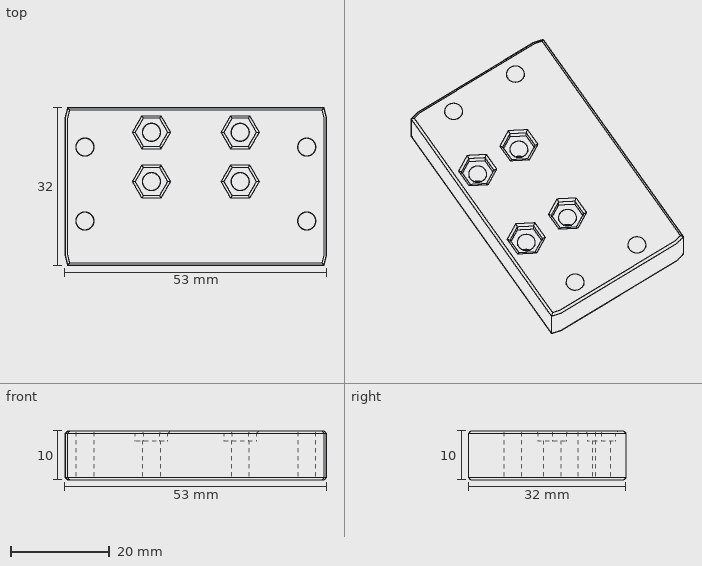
import cadquery as cq
import math

LENGTH = 53.0
WIDTH = 32.0
HEIGHT = 10.0
CORNER_CUT_X = 0.5
CORNER_CUT_Y = 2.0
EDGE_CHAMFER = 0.5

HOLE_DIAMETER = 3.6

MOUNT_SPACING_X = 45.0
MOUNT_SPACING_Y = 15.0
MOUNT_CENTER_Y = 0.5

HEX_SIDES = 6
NUT_SPACING_X = 18.0
NUT_SPACING_Y = 10.0
NUT_CENTER_Y = 6.0
NUT_ACROSS_FLATS = 5.7
NUT_POCKET_DEPTH = 2.1
NUT_LEAD_IN = 0.5


def grid_points(spacing_x, spacing_y, center_y):
    """Four corners of a rectangle centred on the YZ plane."""
    return [
        (side_x * spacing_x / 2, center_y + side_y * spacing_y / 2)
        for side_x in (-1, 1)
        for side_y in (-1, 1)
    ]


def hexagon_corner_diameter(across_flats):
    return across_flats / math.cos(math.pi / HEX_SIDES)


def make_block():
    """Block with long corner cuts and chamfered top and bottom rims."""
    half_x = LENGTH / 2
    half_y = WIDTH / 2
    inner_x = half_x - CORNER_CUT_X
    inner_y = half_y - CORNER_CUT_Y
    outline = [
        (-inner_x, -half_y),
        (inner_x, -half_y),
        (half_x, -inner_y),
        (half_x, inner_y),
        (inner_x, half_y),
        (-inner_x, half_y),
        (-half_x, inner_y),
        (-half_x, -inner_y),
    ]
    block = cq.Workplane("XY").polyline(outline).close().extrude(HEIGHT)
    return block.faces("<Z or >Z").chamfer(EDGE_CHAMFER)


def make_nut_pocket():
    """Hexagonal cutter with a flared mouth, its mouth at the block's top face."""
    mouth_across_flats = NUT_ACROSS_FLATS + 2 * NUT_LEAD_IN
    pocket = (
        cq.Workplane("XY", origin=(0, 0, HEIGHT - NUT_POCKET_DEPTH))
        .polygon(HEX_SIDES, hexagon_corner_diameter(NUT_ACROSS_FLATS))
        .extrude(NUT_POCKET_DEPTH)
    )
    mouth = (
        cq.Workplane("XY", origin=(0, 0, HEIGHT - NUT_LEAD_IN))
        .polygon(HEX_SIDES, hexagon_corner_diameter(NUT_ACROSS_FLATS))
        .workplane(offset=NUT_LEAD_IN)
        .polygon(HEX_SIDES, hexagon_corner_diameter(mouth_across_flats))
        .loft(ruled=True)
    )
    return pocket.union(mouth)


mount_points = grid_points(MOUNT_SPACING_X, MOUNT_SPACING_Y, MOUNT_CENTER_Y)
nut_points = grid_points(NUT_SPACING_X, NUT_SPACING_Y, NUT_CENTER_Y)

holes = (
    cq.Workplane("XY")
    .pushPoints(mount_points + nut_points)
    .circle(HOLE_DIAMETER / 2)
    .extrude(HEIGHT)
)

result = make_block().cut(holes)
nut_pocket = make_nut_pocket()
for x, y in nut_points:
    result = result.cut(nut_pocket.translate((x, y, 0)))